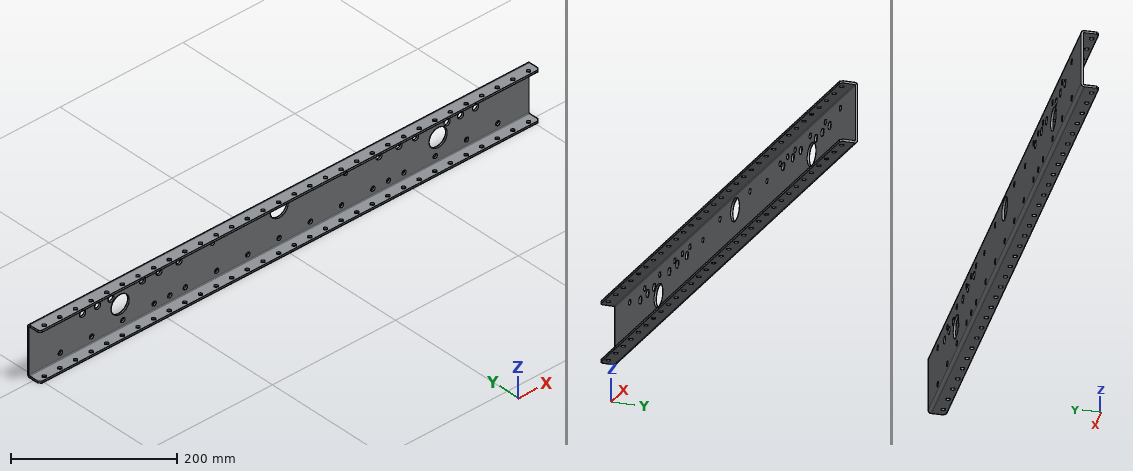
import cadquery as cq

LENGTH = 813.0
DEPTH = 22.0
HEIGHT = 78.0
THICKNESS = 3.0
INNER_BEND = 1.0
OUTER_BEND = INNER_BEND + THICKNESS
CORNER_CHAMFER = 3.0

STEP_COUNT = 32
STEP = LENGTH / STEP_COUNT

FLANGE_HOLE_DIAMETER = 5.3
FLANGE_HOLE_TO_FRONT = 6.1

SMALL_HOLE_DIAMETER = 6.7
LOWER_ROW_FROM_BOTTOM = 12.0
UPPER_ROW_FROM_TOP = 15.5
LOWER_ROW_Z = LOWER_ROW_FROM_BOTTOM - HEIGHT / 2
UPPER_ROW_Z = HEIGHT / 2 - UPPER_ROW_FROM_TOP
LOWER_ROW_STEPS = [0, 2, 4, 6, 7, 8, 10, 12, 14]
UPPER_ROW_STEPS = [2, 6, 7, 8, 10, 12, 14]

PILOT_HOLE_DIAMETER = 6.1
PILOT_HOLE_X = 108.0
PILOT_HOLE_Z = 17.0

MEDIUM_HOLE_DIAMETER = 10.0
INNER_GROUP_X = [162.5, 195.0, 222.0]
INNER_GROUP_Z = 16.0
OUTER_GROUP_X = [273.0, 295.0, 319.5]
OUTER_GROUP_Z = 14.0

LARGE_HOLE_DIAMETER = 29.0
CENTER_OPENING_Z = 18.0
SIDE_OPENING_X = 258.5
SIDE_OPENING_Z = -2.0


def bent_channel():
    """C-shaped channel with rounded bends and chamfered flange corners."""
    outer = (
        cq.Workplane("XY")
        .box(LENGTH, DEPTH, HEIGHT)
        .edges("|X and >Y")
        .fillet(OUTER_BEND)
    )
    inner = (
        cq.Workplane("XY")
        .box(LENGTH, DEPTH, HEIGHT - 2 * THICKNESS)
        .edges("|X and >Y")
        .fillet(INNER_BEND)
        .translate((0, -THICKNESS, 0))
    )
    channel = outer.cut(inner)
    return channel.edges("|Z and <Y").chamfer(CORNER_CHAMFER)


def mirrored(x_places, z):
    """Points at height z on both sides of mid-length, without repeats."""
    both_sides = {side * x for x in x_places for side in (-1, 1)}
    return [(x, z) for x in sorted(both_sides)]


def web_cutters(points, diameter):
    """Cylinders along Y that pass through the web."""
    return (
        cq.Workplane("XZ")
        .pushPoints(points)
        .circle(diameter / 2)
        .extrude(DEPTH, both=True)
    )


def flange_cutters():
    """Cylinders along Z that pass through both flanges, one per grid step."""
    hole_y = FLANGE_HOLE_TO_FRONT - DEPTH / 2
    first_x = (STEP - LENGTH) / 2
    points = [(first_x + i * STEP, hole_y) for i in range(STEP_COUNT)]
    return (
        cq.Workplane("XY")
        .pushPoints(points)
        .circle(FLANGE_HOLE_DIAMETER / 2)
        .extrude(HEIGHT, both=True)
    )


lower_row = mirrored([n * STEP for n in LOWER_ROW_STEPS], LOWER_ROW_Z)
upper_row = mirrored([n * STEP for n in UPPER_ROW_STEPS], UPPER_ROW_Z)
inner_groups = mirrored(INNER_GROUP_X, INNER_GROUP_Z)
outer_groups = mirrored(OUTER_GROUP_X, OUTER_GROUP_Z)
pilot_holes = mirrored([PILOT_HOLE_X], PILOT_HOLE_Z)
large_openings = mirrored([SIDE_OPENING_X], SIDE_OPENING_Z) + [(0, CENTER_OPENING_Z)]

result = (
    bent_channel()
    .cut(flange_cutters())
    .cut(web_cutters(lower_row + upper_row, SMALL_HOLE_DIAMETER))
    .cut(web_cutters(inner_groups + outer_groups, MEDIUM_HOLE_DIAMETER))
    .cut(web_cutters(pilot_holes, PILOT_HOLE_DIAMETER))
    .cut(web_cutters(large_openings, LARGE_HOLE_DIAMETER))
)